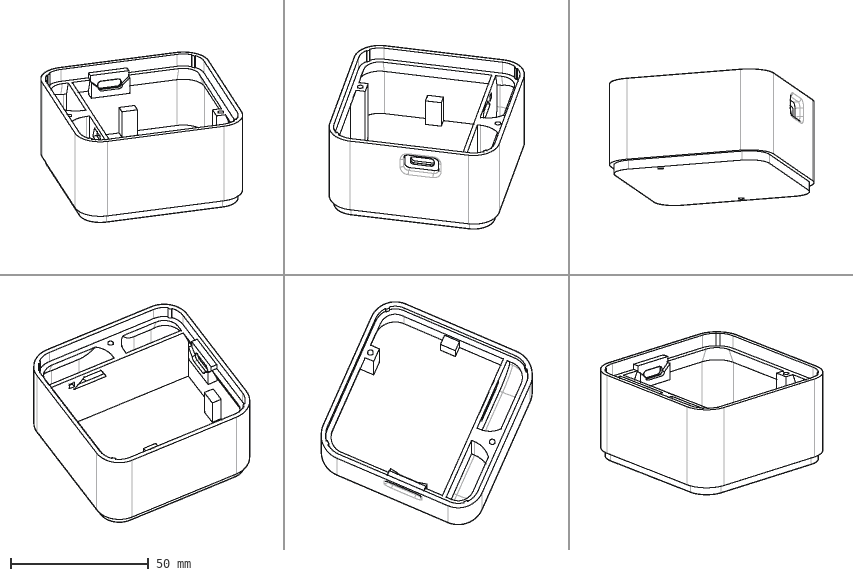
import cadquery as cq
import math

length_x = 62.5
width_y = 63.0
height = 33.62
corner_radius = 9.5
plug_height = 3.35
plug_inset = 1.65

lid_recess_depth = 4.85
ledge_z = height - lid_recess_depth
cavity_depth = 24.1
floor_z = ledge_z - cavity_depth

lid_recess_inset = 1.65
ledge_inset = 3.62
wall = 1.5
flare_height = 5.5

detent_base_width = 1.5
detent_tip_width = 1.3
detent_projection = 0.4

divider_thickness = 1.5
divider_front_y = -19.8
compartment_fillet = 9.0
fillet_clearance = 0.01

screw_diameter = 2.0
screw_y = 26.9
rear_post_x = 10.5
rear_post_width = 5.1
rear_post_front_y = 24.5
front_post_x = -2.15
front_post_width = 5.0

support_y_min = 0.05
support_length = 5.9
support_inner_x = 26.07
support_height = 10.35

port_y = -4.27
port_z = height - 7.15
port_width = 13.0
port_height = 7.0
port_corner_radius = 1.9
port_rim_radius = 1.1
port_depth = 3.0
port_back_thickness = 0.97
housing_width = 14.56
housing_height = 8.6
slot_width = 8.9
slot_height = 3.25
slot_corner_radius = 1.3
slot_z = height - 7.35

cradle_depth = 1.3
cradle_clearance = 0.05
cradle_slope_angle = 42.0

opening_top_z = height - 6.7
opening_bottom_z = height - 11.0
opening_top_x_min = 6.7
opening_top_x_max = 13.6
opening_left_slope_run = 2.2
wire_hole_x_min = 17.75
wire_hole_width = 2.1
wire_hole_top_z = height - 7.3
wire_hole_height = 2.2

half_x = length_x / 2
half_y = width_y / 2
divider_back_y = divider_front_y + divider_thickness
housing_inner_x = -half_x + port_depth + port_back_thickness


def box(x_min, x_max, y_min, y_max, z_min, z_max):
    """Axis-aligned block between the given limits."""
    size = (x_max - x_min, y_max - y_min, z_max - z_min)
    return cq.Workplane("XY").box(*size, centered=False).translate((x_min, y_min, z_min))


def outline(inset, z):
    """Outer outline offset inward by inset, with concentric corners, at height z."""
    sketch = cq.Sketch().rect(length_x - 2 * inset, width_y - 2 * inset)
    sketch = sketch.vertices().fillet(corner_radius - inset)
    return cq.Workplane("XY").workplane(offset=z).placeSketch(sketch)


def prism(inset, z_min, z_max):
    """Upright solid over the inset outline."""
    return outline(inset, z_min).extrude(z_max - z_min)


def port_prism(x_max, width, tall, z, radius):
    """Rounded rectangle centred across the port at height z, running in from the left face."""
    shape = box(-half_x, x_max, port_y - width / 2, port_y + width / 2, z - tall / 2, z + tall / 2)
    return shape.edges("|X").fillet(radius)


def flared_interior():
    """Full cavity: narrow at the ledge, flaring out to the thin wall below it."""
    flare_bottom_z = ledge_z - flare_height
    narrow = cq.Sketch().rect(length_x - 2 * ledge_inset, width_y - 2 * ledge_inset)
    narrow = narrow.vertices().fillet(corner_radius - ledge_inset)
    wide = cq.Sketch().rect(length_x - 2 * wall, width_y - 2 * wall)
    wide = wide.vertices().fillet(corner_radius - wall)
    flare = (
        cq.Workplane("XY")
        .workplane(offset=flare_bottom_z)
        .placeSketch(wide, narrow.moved(cq.Location(cq.Vector(0, 0, flare_height))))
        .loft(ruled=True)
    )
    return prism(wall, floor_z, flare_bottom_z).union(flare)


def main_cavity():
    region = box(-half_x, half_x, divider_back_y, half_y, floor_z, ledge_z)
    return flared_interior().intersect(region)


def front_post():
    """Screw post blended into the front wall by concave quarter rounds."""
    half_width = front_post_width / 2
    wall_y = -half_y + wall
    round_start_y = wall_y + compartment_fillet
    diagonal = compartment_fillet * (1 - math.sqrt(0.5))
    reach = half_width + compartment_fillet
    return (
        cq.Workplane("XY")
        .workplane(offset=floor_z)
        .moveTo(front_post_x - half_width, divider_front_y)
        .lineTo(front_post_x + half_width, divider_front_y)
        .lineTo(front_post_x + half_width, round_start_y)
        .threePointArc(
            (front_post_x + half_width + diagonal, wall_y + diagonal),
            (front_post_x + reach, wall_y),
        )
        .lineTo(front_post_x - reach, wall_y)
        .threePointArc(
            (front_post_x - half_width - diagonal, wall_y + diagonal),
            (front_post_x - half_width, round_start_y),
        )
        .close()
        .extrude(cavity_depth)
    )


def front_compartment():
    """Space in front of the divider, with a bowl-shaped floor along the outer walls."""
    bowl = box(-half_x + wall, half_x - wall, -half_y + wall, half_y - wall, floor_z, ledge_z)
    bowl = bowl.edges("|Z").fillet(compartment_fillet)
    bowl = bowl.faces("<Z").edges().fillet(compartment_fillet - fillet_clearance)
    region = box(-half_x, half_x, -half_y, divider_front_y, floor_z, ledge_z)
    return flared_interior().intersect(bowl).intersect(region).cut(front_post())


def detent_ridges():
    """Narrow flat-topped ridge on the recess wall in each corner, pointing at the corner's centre."""
    recess_radius = corner_radius - lid_recess_inset
    tip_radius = recess_radius - detent_projection
    ridge = (
        cq.Workplane("XY")
        .polyline(
            [
                (tip_radius, -detent_tip_width / 2),
                (recess_radius, -detent_base_width / 2),
                (corner_radius - lid_recess_inset / 2, 0),
                (recess_radius, detent_base_width / 2),
                (tip_radius, detent_tip_width / 2),
            ]
        )
        .close()
        .extrude(lid_recess_depth)
        .rotate((0, 0, 0), (0, 0, 1), 45)
        .translate((half_x - corner_radius, half_y - corner_radius, ledge_z))
    )
    pair = ridge.union(ridge.mirror("YZ"))
    return pair.union(pair.mirror("XZ"))


def rear_post():
    x_min = rear_post_x - rear_post_width / 2
    return box(x_min, x_min + rear_post_width, rear_post_front_y, half_y - wall, floor_z, ledge_z)


def side_supports():
    y_max = support_y_min + support_length
    right = box(support_inner_x, half_x - wall, support_y_min, y_max, floor_z, floor_z + support_height)
    return right.union(right.mirror("YZ"))


def port_housing():
    """Block behind the wall that gives the port its depth."""
    y_min = port_y - housing_width / 2
    z_min = port_z - housing_height / 2
    return box(-half_x + wall, housing_inner_x, y_min, y_min + housing_width, z_min, z_min + housing_height)


def connector_cradle():
    """Shelf behind the slot: flat trough with rounded sides that open into straight slopes."""
    half_width = housing_width / 2
    half_trough = slot_width / 2 + cradle_clearance
    radius = slot_corner_radius + cradle_clearance
    bottom_z = port_z - housing_height / 2
    trough_z = slot_z - slot_height / 2 - cradle_clearance
    slope_z = trough_z + radius
    top_z = slope_z + (half_width - half_trough) * math.tan(math.radians(cradle_slope_angle))
    flat = half_trough - radius
    diagonal = radius * math.sqrt(0.5)
    return (
        cq.Workplane("YZ")
        .workplane(offset=housing_inner_x)
        .center(port_y, 0)
        .moveTo(-half_width, bottom_z)
        .lineTo(half_width, bottom_z)
        .lineTo(half_width, top_z)
        .lineTo(half_trough, slope_z)
        .threePointArc((flat + diagonal, slope_z - diagonal), (flat, trough_z))
        .lineTo(-flat, trough_z)
        .threePointArc((-flat - diagonal, slope_z - diagonal), (-half_trough, slope_z))
        .lineTo(-half_width, top_z)
        .close()
        .extrude(cradle_depth)
    )


def cut_port(body):
    """Deep rounded port with a rounded-over rim, and the connector slot in its back."""
    port = port_prism(-half_x + port_depth, port_width, port_height, port_z, port_corner_radius)
    slot = port_prism(housing_inner_x, slot_width, slot_height, slot_z, slot_corner_radius)
    margin = 0.1
    reach_y = port_width / 2 + margin
    reach_z = port_height / 2 + margin
    rim = cq.selectors.BoxSelector(
        (-half_x - margin, port_y - reach_y, port_z - reach_z),
        (-half_x + margin, port_y + reach_y, port_z + reach_z),
    )
    return body.cut(port).edges(rim).fillet(port_rim_radius).cut(slot)


def divider_openings():
    """Sloped-sided opening and a small rectangular wire hole through the divider."""
    drop = opening_top_z - opening_bottom_z
    opening = (
        cq.Workplane("XZ")
        .workplane(offset=-divider_back_y)
        .moveTo(opening_top_x_min, opening_top_z)
        .lineTo(opening_top_x_max, opening_top_z)
        .lineTo(opening_top_x_max + drop, opening_bottom_z)
        .lineTo(opening_top_x_min - opening_left_slope_run, opening_bottom_z)
        .close()
        .extrude(divider_thickness)
    )
    wire_hole = box(
        wire_hole_x_min,
        wire_hole_x_min + wire_hole_width,
        divider_front_y,
        divider_back_y,
        wire_hole_top_z - wire_hole_height,
        wire_hole_top_z,
    )
    return opening.union(wire_hole)


def screw_holes():
    return (
        cq.Workplane("XY")
        .pushPoints([(rear_post_x, screw_y), (front_post_x, -screw_y)])
        .circle(screw_diameter / 2)
        .extrude(height)
    )


body = prism(plug_inset, 0, plug_height).union(prism(0, plug_height, height))
body = body.cut(prism(lid_recess_inset, ledge_z, height))
body = body.union(detent_ridges())
body = body.cut(main_cavity()).cut(front_compartment())
body = body.union(rear_post()).union(side_supports())
body = body.union(port_housing()).union(connector_cradle())
body = cut_port(body)
body = body.cut(divider_openings()).cut(screw_holes())
result = body